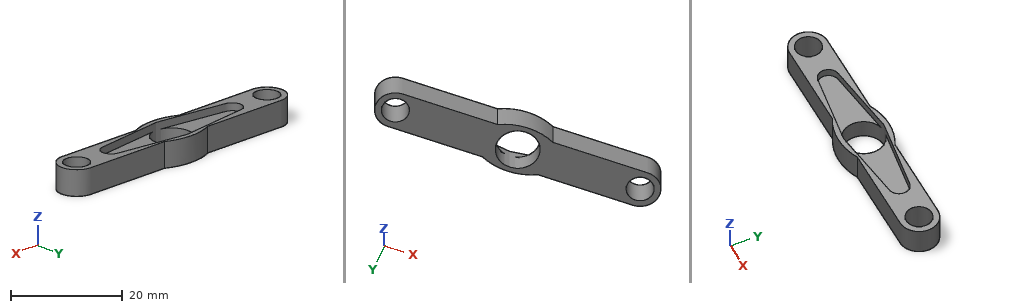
import cadquery as cq
import math

length = 54.6
bar_width = 7.5
thickness = 5.2
end_radius = bar_width / 2
hole_spacing = length - bar_width
hole_diameter = 5.0

hub_width = 10.0
hub_arc_radius = 12.0
bore_diameter = 8.0

pocket_length = 34.0
pocket_mid_width = bore_diameter
pocket_end_radius = 2.0
pocket_depth = 1.55


def hub_profile():
    """Lens made by two shallow arcs that bulge past the sides of the bar."""
    half_width = hub_width / 2
    arc_center_offset = hub_arc_radius - half_width
    side_rise = end_radius + arc_center_offset
    half_chord = math.sqrt(hub_arc_radius**2 - side_rise**2)
    return (
        cq.Workplane("XY")
        .moveTo(-half_chord, end_radius)
        .threePointArc((0, half_width), (half_chord, end_radius))
        .lineTo(half_chord, -end_radius)
        .threePointArc((0, -half_width), (-half_chord, -end_radius))
        .close()
    )


def pocket_profile():
    """Double-tapered outline whose straight sides are tangent to the round ends."""
    half_width = pocket_mid_width / 2
    end_center = pocket_length / 2 - pocket_end_radius
    apex_distance = math.hypot(end_center, half_width)
    apex_angle = math.atan2(half_width, -end_center)
    tangent_angle = apex_angle - math.acos(pocket_end_radius / apex_distance)
    tangent_x = end_center + pocket_end_radius * math.cos(tangent_angle)
    tangent_y = pocket_end_radius * math.sin(tangent_angle)
    return (
        cq.Workplane("XY")
        .moveTo(0, half_width)
        .lineTo(tangent_x, tangent_y)
        .threePointArc((pocket_length / 2, 0), (tangent_x, -tangent_y))
        .lineTo(0, -half_width)
        .lineTo(-tangent_x, -tangent_y)
        .threePointArc((-pocket_length / 2, 0), (-tangent_x, tangent_y))
        .close()
    )


bar = cq.Workplane("XY").slot2D(length, bar_width).extrude(thickness)
body = bar.union(hub_profile().extrude(thickness))

end_holes = (
    cq.Workplane("XY")
    .pushPoints([(-hole_spacing / 2, 0), (hole_spacing / 2, 0)])
    .circle(hole_diameter / 2)
    .extrude(thickness)
)

pocket_prism = pocket_profile().extrude(thickness)
bore = cq.Workplane("XY").circle(bore_diameter / 2).extrude(thickness).intersect(pocket_prism)
pocket = pocket_prism.translate((0, 0, thickness - pocket_depth))

result = body.cut(end_holes).cut(bore).cut(pocket)